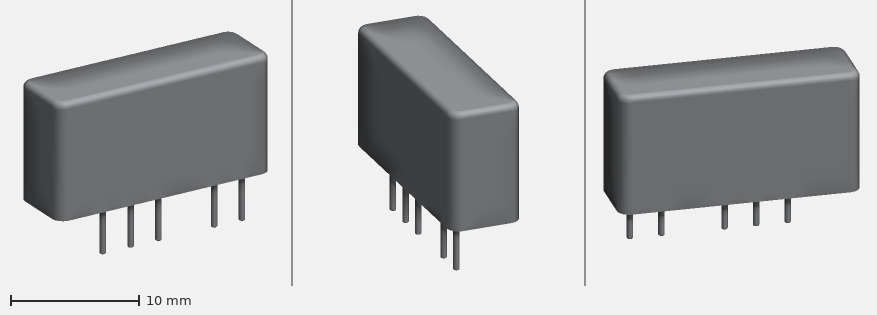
import cadquery as cq

case_width = 6.0
case_length = 19.5
case_height = 10.0
corner_radius = 1.0
top_radius = 0.5

pin_diameter = 0.5
pin_length = 4.1
pin_tip_radius = 0.1
pin_row_x = 1.75
first_pin_y = 7.72
pin_row_span = 12.7
pin_slots = [0, 1, 3, 4, 5]
pin_pitch = pin_row_span / pin_slots[-1]


def make_case():
    block = cq.Workplane("XY").box(
        case_width, case_length, case_height, centered=(True, True, False)
    )
    return block.edges("|Z").fillet(corner_radius).faces(">Z").edges().fillet(top_radius)


def make_pin(y):
    pin = (
        cq.Workplane("XY")
        .center(pin_row_x, y)
        .circle(pin_diameter / 2)
        .extrude(-pin_length)
    )
    return pin.faces("<Z").edges().fillet(pin_tip_radius)


result = make_case()
for slot in pin_slots:
    result = result.union(make_pin(first_pin_y - slot * pin_pitch))